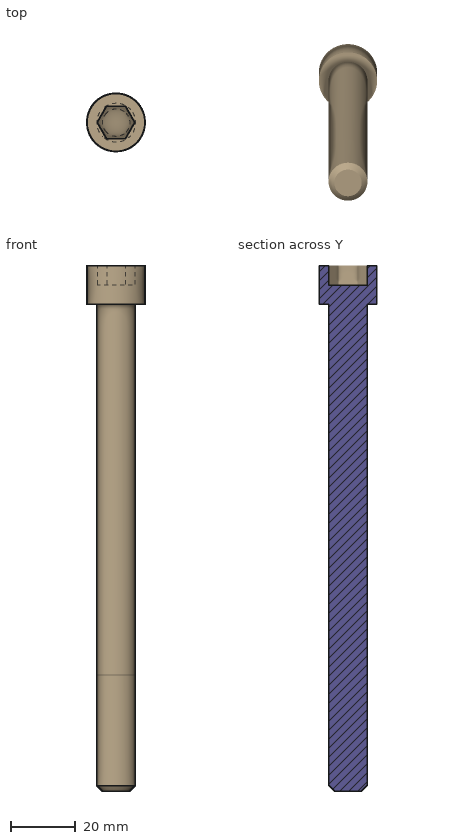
import cadquery as cq
import math

total_length = 162.0
head_diameter = 18.0
shank_diameter = 12.0
head_height = shank_diameter
shank_length = total_length - head_height
thread_length = 36.0
plain_length = shank_length - thread_length

socket_across_flats = 10.0
socket_across_corners = socket_across_flats / math.cos(math.pi / 6)
socket_depth = shank_diameter / 2

tip_chamfer_height = 1.8
tip_chamfer_inset = 1.8


def make_head():
    """Cylindrical head with a hexagonal socket, two corners lying on the X axis."""
    head = cq.Workplane("XY").circle(head_diameter / 2).extrude(head_height)
    socket = (
        cq.Workplane("XY", origin=(0, 0, head_height))
        .polygon(6, socket_across_corners)
        .extrude(-socket_depth)
    )
    return head.cut(socket)


def make_plain_shank():
    """Unthreaded length directly below the head."""
    return cq.Workplane("XY").circle(shank_diameter / 2).extrude(-plain_length)


def make_threaded_end():
    """Threaded length as a smooth cylinder, with a chamfered tip."""
    return (
        cq.Workplane("XY", origin=(0, 0, -plain_length))
        .circle(shank_diameter / 2)
        .extrude(-thread_length)
        .faces("<Z")
        .chamfer(tip_chamfer_height, tip_chamfer_inset)
    )


result = (
    make_head()
    .union(make_plain_shank(), clean=False)
    .union(make_threaded_end(), clean=False)
)